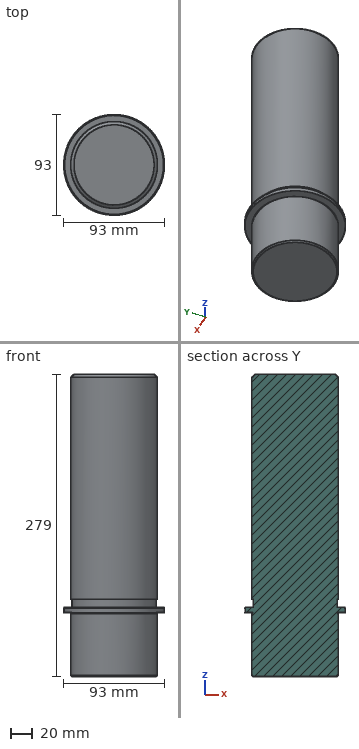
import cadquery as cq

total_height = 279.0
body_radius = 80.0 / 2
flange_radius = 93.0 / 2
neck_radius = 78.0 / 2

flange_bottom = 59.1
flange_thickness = 5.0
neck_top = 71.5

top_chamfer = 3.0
bottom_chamfer = 1.5
shoulder_chamfer = body_radius - neck_radius
flange_chamfer = 0.8

flange_top = flange_bottom + flange_thickness


def cylinder(radius, bottom, top):
    """Solid cylinder on the Z axis between two heights."""
    return cq.Workplane("XY").workplane(offset=bottom).circle(radius).extrude(top - bottom)


plug = cylinder(body_radius, 0, flange_bottom)
plug = plug.faces("<Z").edges().chamfer(bottom_chamfer)
plug = plug.faces(">Z").edges().chamfer(shoulder_chamfer)

flange = cylinder(flange_radius, flange_bottom, flange_top).faces(">Z").edges().chamfer(flange_chamfer)

neck = cylinder(neck_radius, flange_top, neck_top)

shaft = cylinder(body_radius, neck_top, total_height).faces(">Z").edges().chamfer(top_chamfer)

result = plug.union(flange).union(neck).union(shaft)